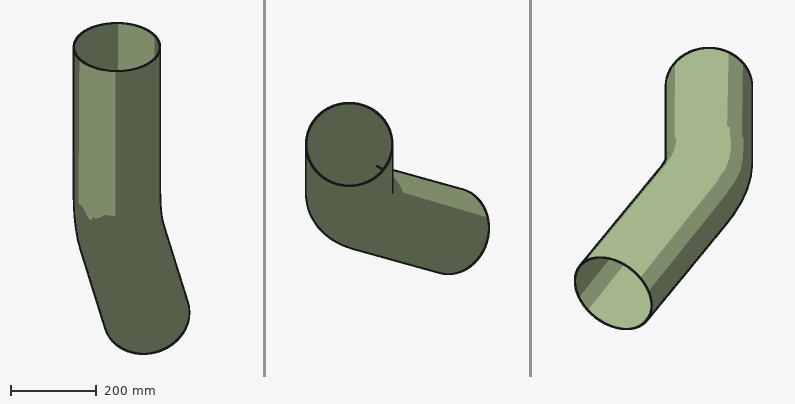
import cadquery as cq
import math

outer_diameter = 203.2
inner_diameter = 198.98
leg_length = 2 * outer_diameter
bend_radius = 1.5 * outer_diameter
bend_angle = math.radians(30)


def point_on_bend(angle):
    """Centreline point (y, z) after turning by angle from the vertical leg."""
    return (
        bend_radius * (1 - math.cos(angle)),
        -bend_radius * math.sin(angle),
    )


bend_middle = point_on_bend(bend_angle / 2)
bend_end = point_on_bend(bend_angle)
lower_end = (
    bend_end[0] + leg_length * math.sin(bend_angle),
    bend_end[1] - leg_length * math.cos(bend_angle),
)
centreline = (
    cq.Workplane("YZ")
    .moveTo(0, leg_length)
    .lineTo(0, 0)
    .threePointArc(bend_middle, bend_end)
    .lineTo(*lower_end)
)

result = (
    cq.Workplane("XY", origin=(0, 0, leg_length))
    .circle(outer_diameter / 2)
    .circle(inner_diameter / 2)
    .sweep(centreline)
)